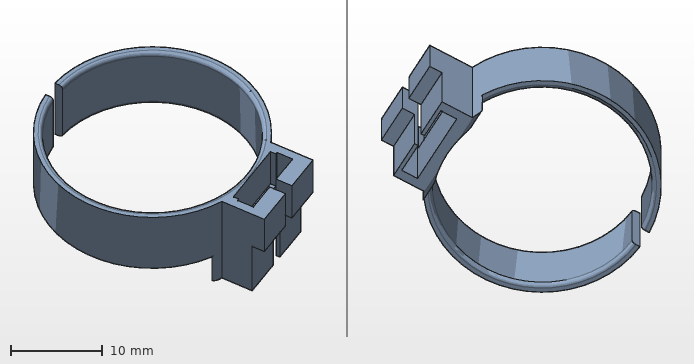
import cadquery as cq
import math

total_length = 30.25
total_height = 12.0

ring_radius = 13.0
ring_wall = 1.0
ring_height = 8.0
ring_gap = 2.0
ring_edge_radius = 0.48
bore_radius = ring_radius - ring_wall

block_width = 10.5
head_height = 5.05
head_overhang = 1.55
slot_length = 8.47
slot_width = 2.0
end_wall = 2.0
slit_width = 1.4
recess_length = 8.0
recess_width = 0.67
recess_depth = head_height

skirt_start = 11.3
skirt_edge_radius = 0.48

ring_left = -math.sqrt(ring_radius**2 - (ring_gap / 2) ** 2)
block_end = ring_left + total_length
lower_end = block_end - head_overhang
slot_end = block_end - end_wall
slot_start = slot_end - slot_width
bottom = ring_height - total_height
head_bottom = ring_height - head_height


def box_between(x_start, x_end, width, z_start, z_end):
    """Box centred on the XZ plane."""
    return (
        cq.Workplane("XY", origin=((x_start + x_end) / 2, 0, z_start))
        .rect(x_end - x_start, width)
        .extrude(z_end - z_start)
    )


def cylinder(radius, z_start, z_end):
    return cq.Workplane("XY", origin=(0, 0, z_start)).circle(radius).extrude(z_end - z_start)


def make_ring():
    """Ring with rounded bore edges, split on the -X side."""
    ring = cylinder(ring_radius, 0, ring_height).cut(cylinder(bore_radius, 0, ring_height))
    ring = ring.edges(cq.selectors.RadiusNthSelector(0)).fillet(ring_edge_radius)
    return ring.cut(box_between(-total_length, 0, ring_gap, 0, ring_height))


def make_skirt():
    """Lower part of the clamp, with a rounded bottom edge on its flat -X side."""
    middle = ring_height / 2
    bar = box_between(skirt_start, total_length, 2 * ring_radius, bottom, middle)
    bar = bar.edges("<X and <Z").fillet(skirt_edge_radius)
    wall = bar.intersect(cylinder(ring_radius, bottom, middle))
    return wall.cut(cylinder(bore_radius, bottom, middle))


def make_block():
    """Stepped block outside the ring, wider in X at its head."""
    lower = box_between(0, lower_end, block_width, bottom, ring_height)
    head = box_between(0, block_end, block_width, head_bottom, ring_height)
    return lower.union(head).cut(cylinder(ring_radius, bottom, ring_height))


def make_openings():
    """Through slot, its slit to the +X end, and a recess on the ring side."""
    slot = box_between(slot_start, slot_end, slot_length, bottom, ring_height)
    slit = box_between(slot_end, block_end, slit_width, bottom, ring_height)
    recess = box_between(
        slot_start - recess_width, slot_end, recess_length, ring_height - recess_depth, ring_height
    )
    return slot.union(slit).union(recess)


result = make_ring().union(make_skirt()).union(make_block()).cut(make_openings())